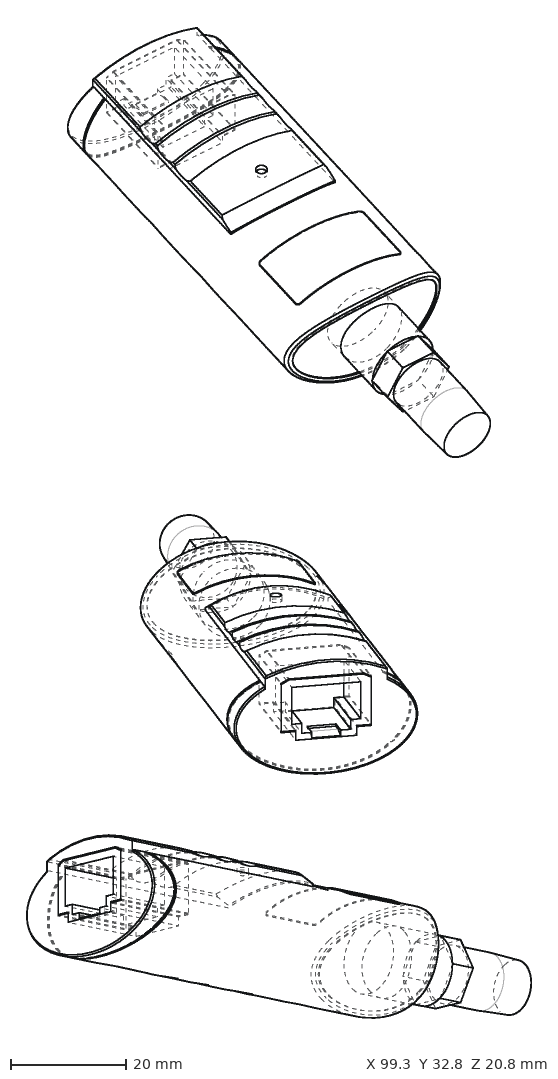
import cadquery as cq
import math


overshoot = 1.0

half_width = 16.4
half_height = 9.6
end_apex = 70.5
end_radius = 43.2
front_chamfer = 0.3
end_bevel_along = 0.3
end_bevel_face = 0.6
end_rim_width = 1.3
end_recess = 0.3

seam_apex = 2.3
seam_radius = 49.65
seam_width = 0.3
seam_depth = 0.2

pad_half_width = 10.9
pad_top = 11.2
pad_crown_radius = 28.3
pad_end_apex = 44.0
pad_end_radius = 42.1
pad_side_chamfer = 0.3
pad_nose_drop = 1.3
pad_nose_length = 3.1

scoop_count = 3
scoop_start = 14.2
scoop_width = 4.8
scoop_pitch = 5.4
scoop_depth = 0.5

indicator_x = 35.9
indicator_diameter = 2.0
indicator_depth = 1.0

label_start = 50.9
label_end = 63.2
label_half_width = 10.9
label_corner = 0.6
label_rise = 0.2

jack_length = 15.9
jack_half_width = 8.0
jack_top = 8.1
jack_corner_width = 1.4
jack_corner_height = 0.7
jack_shoulder = -1.2
jack_clearance = 0.2
jack_foot_half_width = 5.5
jack_bottom = -3.0
socket_depth = 11.9
socket_half_width = 6.2
socket_top = 6.8
socket_shoulder = 0.0
socket_slot_half_width = 4.4
socket_bottom = -1.8
lip_half_width = 2.6
lip_depth = 0.4
lip_front_depth = 1.0
lip_ramp_length = 1.9
lip_length = 3.4

connector_start = 65.5
collar_end = 79.4
collar_radius = 6.4
hex_end = 84.2
hex_across_corners = 12.9
barrel_end = 92.5
barrel_radius = 5.2
tip_end = 99.3
tip_radius = 4.9


def ellipse_prism(start, end, growth=0.0):
    """Prism along X with the housing's section, enlarged all round by growth."""
    section = cq.Workplane("YZ", origin=(start, 0, 0)).ellipse(half_width + growth, half_height + growth)
    return section.extrude(end - start)


def bowed_plan(apex, radius, half_span, bottom, height):
    """Upright block from X = 0 to an end that bows outward to apex, half_span wide on each side."""
    corner = apex - radius + math.sqrt(radius**2 - half_span**2)
    return (
        cq.Workplane("XY", origin=(0, 0, bottom))
        .moveTo(0, -half_span)
        .lineTo(corner, -half_span)
        .threePointArc((apex, 0), (corner, half_span))
        .lineTo(0, half_span)
        .close()
        .extrude(height)
    )


def end_block(apex):
    """Block larger than the shell's section, with the shell's bowed end at apex."""
    block_half_height = half_height + overshoot
    return bowed_plan(apex, end_radius, half_width + overshoot, -block_half_height, 2 * block_half_height)


def make_shell():
    """Elliptical shell with beveled front and end edges and a shallow recess inside the end rim."""
    shell = ellipse_prism(0, end_apex + overshoot).intersect(end_block(end_apex))
    end_face = cq.selectors.NearestToPointSelector((end_apex, 0, 0))
    shell = shell.faces(end_face).edges().chamfer(end_bevel_along, end_bevel_face)
    shell = shell.faces("<X").edges().chamfer(front_chamfer)
    recess = ellipse_prism(connector_start, end_apex + overshoot, -end_rim_width)
    recess = recess.cut(end_block(end_apex - end_recess))
    return shell.cut(recess)


def make_seam():
    """Shallow band around the shell, bowed toward the front face."""
    seam_center = seam_apex + seam_radius
    seam_end = seam_center / 2
    band_half_height = half_height + overshoot
    band = (
        cq.Workplane("XY", origin=(seam_center, 0, -band_half_height))
        .circle(seam_radius)
        .circle(seam_radius - seam_width)
        .extrude(2 * band_half_height)
    )
    rind = ellipse_prism(0, seam_end, overshoot).cut(ellipse_prism(0, seam_end, -seam_depth))
    return band.intersect(rind)


def make_pad():
    """Crowned pad with beveled sides and a sloping, bowed nose, rooted inside the shell."""
    pad_edge = pad_top - pad_crown_radius + math.sqrt(pad_crown_radius**2 - pad_half_width**2)
    crown = (
        cq.Workplane("YZ")
        .moveTo(-pad_half_width, 0)
        .lineTo(pad_half_width, 0)
        .lineTo(pad_half_width, pad_edge)
        .threePointArc((0, pad_top), (-pad_half_width, pad_edge))
        .close()
        .extrude(pad_end_apex + overshoot)
    )
    pad = crown.intersect(bowed_plan(pad_end_apex, pad_end_radius, pad_half_width, 0, pad_top + overshoot))
    nose_face = cq.selectors.NearestToPointSelector((pad_end_apex, 0, pad_top / 2))
    pad = pad.faces(nose_face).edges(">Z").chamfer(pad_nose_drop, pad_nose_length)
    pad = pad.edges("|X").edges(">Z").chamfer(pad_side_chamfer)
    return pad.faces("<X").edges(">Z").chamfer(front_chamfer)


def make_scoop(start):
    """Arc-section groove that runs across the pad at one depth below its crown."""
    middle = start + scoop_width / 2
    end = start + scoop_width
    crown_axis = pad_top - pad_crown_radius
    return (
        cq.Workplane("XZ")
        .moveTo(start, pad_top + overshoot)
        .lineTo(start, pad_top)
        .threePointArc((middle, pad_top - scoop_depth), (end, pad_top))
        .lineTo(end, pad_top + overshoot)
        .close()
        .revolve(360, (0, crown_axis, 0), (1, crown_axis, 0))
    )


def make_label():
    """Rounded rectangle raised slightly above the shell and following its curve."""
    length = label_end - label_start
    outline = (
        cq.Workplane("XY", origin=((label_start + label_end) / 2, 0, 0))
        .rect(length, 2 * label_half_width)
        .extrude(half_height + overshoot)
        .edges("|Z")
        .fillet(label_corner)
    )
    return outline.intersect(ellipse_prism(label_start, label_end, label_rise))


def make_jack_block(clearance=0.0):
    """Block with clipped top corners and a narrower foot, with clearance above and under its shoulders."""
    top = jack_top + clearance
    shoulder = jack_shoulder - clearance
    right_side = [
        (jack_foot_half_width, jack_bottom),
        (jack_foot_half_width, shoulder),
        (jack_half_width, shoulder),
        (jack_half_width, top - jack_corner_height),
        (jack_half_width - jack_corner_width, top),
    ]
    left_side = [(-y, z) for y, z in reversed(right_side)]
    return cq.Workplane("YZ").polyline(right_side + left_side).close().extrude(jack_length)


def make_jack():
    """Jack body with a stepped plug socket and a short notch that ramps down to the front in its lip."""
    socket_height = socket_top - socket_shoulder
    socket = (
        cq.Workplane("YZ", origin=(0, 0, socket_shoulder + socket_height / 2))
        .rect(2 * socket_half_width, socket_height)
        .extrude(socket_depth)
    )
    slot_height = socket_shoulder - socket_bottom
    slot = (
        cq.Workplane("YZ", origin=(0, 0, socket_bottom + slot_height / 2))
        .rect(2 * socket_slot_half_width, slot_height)
        .extrude(socket_depth)
    )
    lip_notch = (
        cq.Workplane("XZ")
        .moveTo(0, socket_bottom)
        .lineTo(0, socket_bottom - lip_front_depth)
        .lineTo(lip_ramp_length, socket_bottom - lip_depth)
        .lineTo(lip_length, socket_bottom - lip_depth)
        .lineTo(lip_length, socket_bottom)
        .close()
        .extrude(lip_half_width, both=True)
    )
    return make_jack_block().cut(socket).cut(slot).cut(lip_notch)


def make_housing():
    """Shell with its pad, label, finger scoops, and the openings for the jack and the connector."""
    housing = make_shell().cut(make_seam()).union(make_pad()).union(make_label())
    for index in range(scoop_count):
        housing = housing.cut(make_scoop(scoop_start + index * scoop_pitch))
    indicator_hole = (
        cq.Workplane("XY", origin=(indicator_x, 0, pad_top - indicator_depth))
        .circle(indicator_diameter / 2)
        .extrude(indicator_depth + overshoot)
    )
    collar_bore = (
        cq.Workplane("YZ", origin=(connector_start, 0, 0))
        .circle(collar_radius)
        .extrude(collar_end - connector_start)
    )
    return housing.cut(indicator_hole).cut(make_jack_block(jack_clearance)).cut(collar_bore)


def make_connector():
    """Round collar, hexagon with corners toward +Y and -Y, barrel and tapered tip."""
    profile = [
        (connector_start, 0),
        (connector_start, collar_radius),
        (collar_end, collar_radius),
        (collar_end, barrel_radius),
        (barrel_end, barrel_radius),
        (tip_end, tip_radius),
        (tip_end, 0),
    ]
    turned = cq.Workplane("XY").polyline(profile).close().revolve(360, (0, 0, 0), (1, 0, 0))
    hexagon = (
        cq.Workplane("YZ", origin=(collar_end, 0, 0))
        .polygon(6, hex_across_corners)
        .extrude(hex_end - collar_end)
    )
    return turned.union(hexagon)


housing = make_housing()
jack = make_jack()
connector = make_connector()

result = cq.Compound.makeCompound([housing.val(), jack.val(), connector.val()])